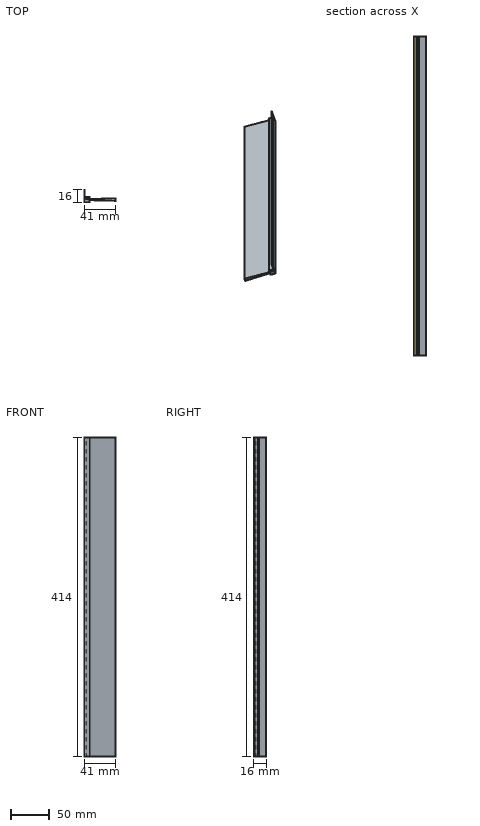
import cadquery as cq

length = 414.0
width = 41.0
flange_top = 16.0

head_width = 7.0
head_depth = 7.0
flange_thickness = 1.0

slit_floor = 4.5
slit_gap = 0.5
slit_start = 2.5

web_root_front = 2.5
web_tip_front = 1.5
web_tip_back = 5.5

profile = [
    (0, 0),
    (head_width, 0),
    (head_width, web_root_front),
    (width, web_tip_front),
    (width, web_tip_back),
    (head_width, slit_floor),
    (slit_start, slit_floor),
    (slit_start, slit_floor + slit_gap),
    (head_width, slit_floor + slit_gap),
    (head_width, head_depth),
    (flange_thickness, head_depth),
    (flange_thickness, flange_top),
    (0, flange_top),
]

result = cq.Workplane("XY").polyline(profile).close().extrude(length)